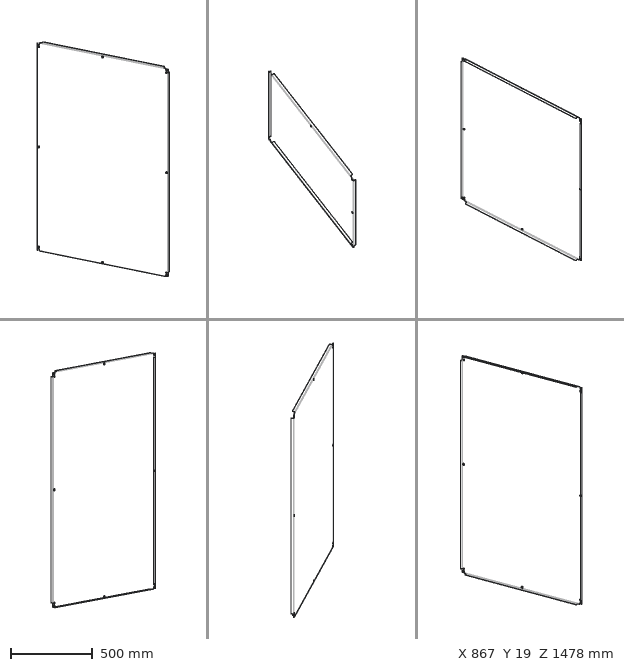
import cadquery as cq

width = 867.0
depth = 19.0
height = 1478.0
sheet = 1.8
bend_radius = 3.7

flange_setback = 31.0
flange_corner = 5.0

relief_width = 9.0
relief_inset = 12.0
relief_depth = 18.0

web_end_setback = 5.0
bend_trim = 3.0

edge_hole_diameter = 12.0
edge_hole_inset = 11.1
corner_hole_diameter = 7.0
corner_hole_inset_x = 13.0
corner_hole_inset_z = 31.0

half_width = width / 2
half_height = height / 2
relief_inner_side = relief_inset + relief_width / 2


def bent_strip(offset, bend_half_length, flange_half_length):
    """Bend and flange running along X, with the outer face of the flange at Z = offset."""
    inner_radius = bend_radius - sheet
    bend_start = offset - bend_radius
    bend = (
        cq.Workplane("YZ", origin=(-bend_half_length, 0, 0))
        .moveTo(0, bend_start)
        .radiusArc((bend_radius, offset), bend_radius)
        .lineTo(bend_radius, offset - sheet)
        .radiusArc((sheet, bend_start), -inner_radius)
        .close()
        .extrude(2 * bend_half_length)
    )
    flange = (
        cq.Workplane("XY", origin=(0, 0, offset))
        .center(0, (bend_radius + depth) / 2)
        .rect(2 * flange_half_length, depth - bend_radius)
        .extrude(-sheet)
        .edges("|Z and >Y")
        .fillet(flange_corner)
    )
    return bend.union(flange)


def web_plate(size_x, size_z):
    return cq.Workplane("XZ").rect(size_x, size_z).extrude(-sheet)


def make_web():
    """Flat web: tall between the relief slots, slightly shorter outside them."""
    middle = web_plate(2 * (half_width - relief_inner_side), height - 2 * bend_radius)
    full_width = web_plate(width - 2 * bend_radius, height - 2 * web_end_setback)
    return middle.union(full_width)


def four_corners(x, z):
    return [(side * x, end * z) for side in (-1, 1) for end in (-1, 1)]


def relief_slots():
    """Slots centred on the top and bottom faces, so that half of each lies in the web."""
    centres = four_corners(half_width - relief_inset, half_height)
    return cq.Workplane("XZ").pushPoints(centres).slot2D(2 * relief_depth, relief_width, 90).extrude(-sheet)


def holes(centres, diameter):
    return cq.Workplane("XZ").pushPoints(centres).circle(diameter / 2).extrude(-sheet)


end_strip = bent_strip(
    half_height,
    half_width - relief_inner_side - bend_trim,
    half_width - flange_setback,
)
side_strip = bent_strip(
    half_width,
    half_height - web_end_setback - bend_trim,
    half_height - flange_setback,
)
result = make_web()
for strip, angle in ((end_strip, 0), (side_strip, 90), (end_strip, 180), (side_strip, 270)):
    result = result.union(strip.rotate((0, 0, 0), (0, 1, 0), angle))

edge_x = half_width - edge_hole_inset
edge_z = half_height - edge_hole_inset
edge_centres = [(edge_x, 0), (-edge_x, 0), (0, edge_z), (0, -edge_z)]
corner_centres = four_corners(half_width - corner_hole_inset_x, half_height - corner_hole_inset_z)

result = result.cut(relief_slots())
result = result.cut(holes(edge_centres, edge_hole_diameter))
result = result.cut(holes(corner_centres, corner_hole_diameter))